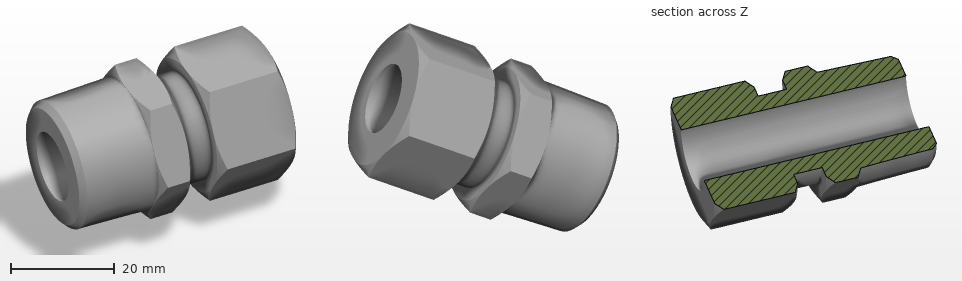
import cadquery as cq
import math

across_flats = 27.0
across_corners = across_flats / math.cos(math.pi / 6)
corner_bevel_angle = math.radians(30)
corner_clearance = 0.45

total_length = 45.7
thread_length = 16.0
body_hex_length = 7.05
neck_length = 5.7
nut_length = total_length - thread_length - body_hex_length - neck_length

thread_root_diameter = 26.85
thread_tip_diameter = 25.95
tip_face_diameter = 23.55
tip_chamfer_length = 1.2

neck_diameter = 22.0
bore_diameter = 14.05

tip_y = -total_length / 2
body_hex_y = tip_y + thread_length
neck_y = body_hex_y + body_hex_length
nut_y = neck_y + neck_length


def cylinder(diameter, start_y, length):
    """Cylinder on the Y axis running from start_y toward +Y."""
    plane = cq.Workplane("XZ", origin=(0, start_y, 0))
    return plane.circle(diameter / 2).extrude(-length)


def beveled_hexagon(start_y, length):
    """Hexagonal prism whose corners are turned to a cone at both ends."""
    prism = (
        cq.Workplane("XZ", origin=(0, start_y, 0))
        .polygon(6, across_corners)
        .extrude(-length)
    )
    end_radius = across_flats / 2
    outer_radius = across_corners / 2 + corner_clearance
    bevel_length = (outer_radius - end_radius) * math.tan(corner_bevel_angle)
    end_y = start_y + length
    envelope = (
        cq.Workplane("XY")
        .moveTo(0, start_y)
        .lineTo(end_radius, start_y)
        .lineTo(outer_radius, start_y + bevel_length)
        .lineTo(outer_radius, end_y - bevel_length)
        .lineTo(end_radius, end_y)
        .lineTo(0, end_y)
        .close()
        .revolve(360, (0, 0, 0), (0, 1, 0))
    )
    return prism.intersect(envelope)


def tapered_thread():
    """Plain tapered envelope of the thread, chamfered at the tip."""
    chamfer_y = tip_y + tip_chamfer_length
    return (
        cq.Workplane("XY")
        .moveTo(0, tip_y)
        .lineTo(tip_face_diameter / 2, tip_y)
        .lineTo(thread_tip_diameter / 2, chamfer_y)
        .lineTo(thread_root_diameter / 2, body_hex_y)
        .lineTo(0, body_hex_y)
        .close()
        .revolve(360, (0, 0, 0), (0, 1, 0))
    )


body_hex = beveled_hexagon(body_hex_y, body_hex_length)
neck = cylinder(neck_diameter, neck_y, neck_length)
nut = beveled_hexagon(nut_y, nut_length)
bore = cylinder(bore_diameter, tip_y, total_length)

result = tapered_thread().union(body_hex).union(neck).union(nut).cut(bore)